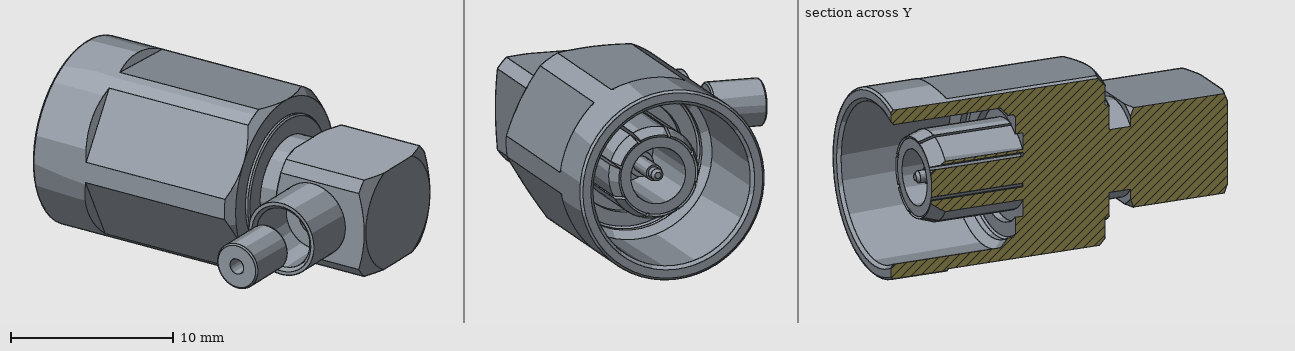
import cadquery as cq


NUT_RADIUS = 6.0
NUT_LENGTH = 14.66
NUT_FRONT_CHAMFER = 0.15
NUT_REAR_CHAMFER = 0.5
HEX_ACROSS_FLATS = 11.0
HEX_TILT = -2.65
HEX_SIDES = 6
FLAT_RAMP_START = 3.7
FLAT_START = 3.94

SOCKET_MOUTH_RADIUS = 5.33
SOCKET_FRONT_RADIUS = 5.12
SOCKET_REAR_RADIUS = 4.63
SOCKET_FLOOR_RADIUS = 4.5
SOCKET_SHOULDER_START = 7.5
SOCKET_DEPTH = 8.5
FLOOR_RECESS_RADIUS = 3.6
FLOOR_RECESS_DEPTH = 0.5
RECESS_FLOOR = SOCKET_DEPTH + FLOOR_RECESS_DEPTH

SLEEVE_START = 2.77
SLEEVE_BORE_RADIUS = 1.78
SLEEVE_RADIUS = 2.44
FINGER_START = 2.72
FINGER_TIP_RADIUS = 2.57
FINGER_RADIUS = 2.9
FINGER_TAPER_LENGTH = 1.0
SLOT_COUNT = 8
SLOT_WIDTH = 0.2
SLOT_TILT = 16.0

PIN_START = 2.8
PIN_FLAT_RADIUS = 0.2
PIN_TIP_RADIUS = 0.38
PIN_TIP_LENGTH = 0.75
PIN_TAPER_LENGTH = 0.2
PIN_RADIUS = 0.5
PIN_BASE_RADIUS = 0.8
PIN_BASE_START = 6.0

FLANGE_RADIUS = 4.4
FLANGE_END = 14.93
FLANGE_CHAMFER = 0.1
NECK_RADIUS = 3.15

BLOCK_START = 16.36
BLOCK_END = 23.0
BLOCK_HALF_WIDTH = 3.7
BLOCK_HALF_HEIGHT = 3.25
BLOCK_CORNER_RADIUS = 4.5
BLOCK_CONE_LENGTH = 0.45
BLOCK_CONE_DROP = 0.9

OUTLET_X = 19.16
OUTLET_END = -7.23
OUTLET_RADIUS = 2.4
OUTLET_MOUTH_RADIUS = 2.17
OUTLET_BORE_RADIUS = 1.95
WIRE_HOLE_RADIUS = 1.0

FERRULE_RADIUS = 1.485
FERRULE_HOLE_RADIUS = 0.5
FERRULE_LENGTH = 3.5
FERRULE_CHAMFER = 0.1
FERRULE_GAP = 1.5


def revolve_on_x(points):
    """Revolve a closed (x, radius) outline about the X axis."""
    return cq.Workplane("XY").polyline(points).close().revolve(360, (0, 0, 0), (1, 0, 0))


def disc_on_x(start, end, radius):
    """Cylinder about the X axis from start to end."""
    return cq.Workplane("YZ").workplane(offset=start).circle(radius).extrude(end - start)


def disc_on_outlet(start, end, radius):
    """Cylinder about the outlet axis, between two Y positions with start above end."""
    plane = cq.Plane(origin=(OUTLET_X, start, 0), xDir=(1, 0, 0), normal=(0, -1, 0))
    return cq.Workplane(plane).circle(radius).extrude(start - end)


def make_nut():
    """Round nut with ramped hexagon flats and a stepped socket."""
    blank = disc_on_x(0, NUT_LENGTH, NUT_RADIUS)
    blank = blank.faces("<X").chamfer(NUT_FRONT_CHAMFER)
    blank = blank.faces(">X").chamfer(NUT_REAR_CHAMFER)

    apothem = HEX_ACROSS_FLATS / 2
    side_cut = (
        cq.Workplane("XZ")
        .polyline([
            (FLAT_RAMP_START, NUT_RADIUS),
            (FLAT_START, apothem),
            (NUT_LENGTH, apothem),
            (NUT_LENGTH, NUT_RADIUS),
        ])
        .close()
        .extrude(NUT_RADIUS, both=True)
    )
    for side in range(HEX_SIDES):
        angle = HEX_TILT + side * 360 / HEX_SIDES
        blank = blank.cut(side_cut.rotate((0, 0, 0), (1, 0, 0), angle))

    mouth_chamfer = SOCKET_MOUTH_RADIUS - SOCKET_FRONT_RADIUS
    shoulder = SOCKET_FRONT_RADIUS - SOCKET_REAR_RADIUS
    floor_chamfer = SOCKET_REAR_RADIUS - SOCKET_FLOOR_RADIUS
    socket = revolve_on_x([
        (0, 0),
        (0, SOCKET_MOUTH_RADIUS),
        (mouth_chamfer, SOCKET_FRONT_RADIUS),
        (SOCKET_SHOULDER_START, SOCKET_FRONT_RADIUS),
        (SOCKET_SHOULDER_START + shoulder, SOCKET_REAR_RADIUS),
        (SOCKET_DEPTH - floor_chamfer, SOCKET_REAR_RADIUS),
        (SOCKET_DEPTH, SOCKET_FLOOR_RADIUS),
        (SOCKET_DEPTH, FLOOR_RECESS_RADIUS),
        (RECESS_FLOOR, FLOOR_RECESS_RADIUS),
        (RECESS_FLOOR, 0),
    ])
    return blank.cut(socket)


def make_sleeve():
    """Contact sleeve ringed by spring fingers with tapered tips."""
    sleeve = revolve_on_x([
        (SLEEVE_START, SLEEVE_BORE_RADIUS),
        (SLEEVE_START, SLEEVE_RADIUS),
        (FINGER_START, FINGER_TIP_RADIUS),
        (FINGER_START + FINGER_TAPER_LENGTH, FINGER_RADIUS),
        (RECESS_FLOOR, FINGER_RADIUS),
        (RECESS_FLOOR, SLEEVE_BORE_RADIUS),
    ])
    slot = cq.Workplane("XY").box(
        RECESS_FLOOR - FINGER_START, SLOT_WIDTH, FINGER_RADIUS, centered=(False, True, False)
    )
    slot = slot.translate((FINGER_START, 0, 0)).cut(disc_on_x(0, RECESS_FLOOR, SLEEVE_RADIUS))
    for index in range(SLOT_COUNT):
        angle = SLOT_TILT + index * 360 / SLOT_COUNT
        sleeve = sleeve.cut(slot.rotate((0, 0, 0), (1, 0, 0), angle))
    return sleeve


def make_pin():
    """Stepped center pin with a tapered tip, standing on the recess floor."""
    tip_end = PIN_START + PIN_TIP_LENGTH
    return revolve_on_x([
        (PIN_START, 0),
        (PIN_START, PIN_FLAT_RADIUS),
        (PIN_START + PIN_TAPER_LENGTH, PIN_TIP_RADIUS),
        (tip_end, PIN_TIP_RADIUS),
        (tip_end, PIN_RADIUS),
        (PIN_BASE_START, PIN_RADIUS),
        (PIN_BASE_START, PIN_BASE_RADIUS),
        (RECESS_FLOOR, PIN_BASE_RADIUS),
        (RECESS_FLOOR, 0),
    ])


def make_neck():
    """Flange behind the nut and the neck that runs through the angle block."""
    flange = disc_on_x(NUT_LENGTH, FLANGE_END, FLANGE_RADIUS).faces(">X").chamfer(FLANGE_CHAMFER)
    return flange.union(disc_on_x(NUT_LENGTH, BLOCK_END, NECK_RADIUS))


def make_block():
    """Round bar with coned ends, flattened on four sides."""
    end_radius = BLOCK_CORNER_RADIUS - BLOCK_CONE_DROP
    bar = revolve_on_x([
        (BLOCK_START, 0),
        (BLOCK_START, end_radius),
        (BLOCK_START + BLOCK_CONE_LENGTH, BLOCK_CORNER_RADIUS),
        (BLOCK_END - BLOCK_CONE_LENGTH, BLOCK_CORNER_RADIUS),
        (BLOCK_END, end_radius),
        (BLOCK_END, 0),
    ])
    envelope = cq.Workplane("XY").box(
        BLOCK_END - BLOCK_START, 2 * BLOCK_HALF_WIDTH, 2 * BLOCK_HALF_HEIGHT, centered=(False, True, True)
    )
    return bar.intersect(envelope.translate((BLOCK_START, 0, 0)))


def make_outlet():
    """Cable tube on the -Y side of the block, with a chamfered mouth."""
    tube = disc_on_outlet(-BLOCK_HALF_WIDTH, OUTLET_END, OUTLET_RADIUS)
    tube = tube.cut(disc_on_outlet(-BLOCK_HALF_WIDTH, OUTLET_END, OUTLET_BORE_RADIUS))
    mouth = tube.faces("<Y").edges(cq.selectors.RadiusNthSelector(0))
    return mouth.chamfer(OUTLET_MOUTH_RADIUS - OUTLET_BORE_RADIUS)


def make_connector():
    """Complete angle connector as one solid."""
    wire_hole = disc_on_outlet(0, -BLOCK_HALF_WIDTH, WIRE_HOLE_RADIUS)
    block = make_block().cut(wire_hole)
    connector = make_nut()
    for piece in (make_sleeve(), make_pin(), block, make_neck(), make_outlet()):
        connector = connector.union(piece)
    return connector


def make_ferrule():
    """Loose drilled ferrule in line with the cable outlet."""
    start = OUTLET_END - FERRULE_GAP
    end = start - FERRULE_LENGTH
    body = disc_on_outlet(start, end, FERRULE_RADIUS).faces("<Y or >Y").chamfer(FERRULE_CHAMFER)
    return body.cut(disc_on_outlet(start, end, FERRULE_HOLE_RADIUS))


connector = make_connector()
ferrule = make_ferrule()

result = cq.Compound.makeCompound([connector.val(), ferrule.val()])